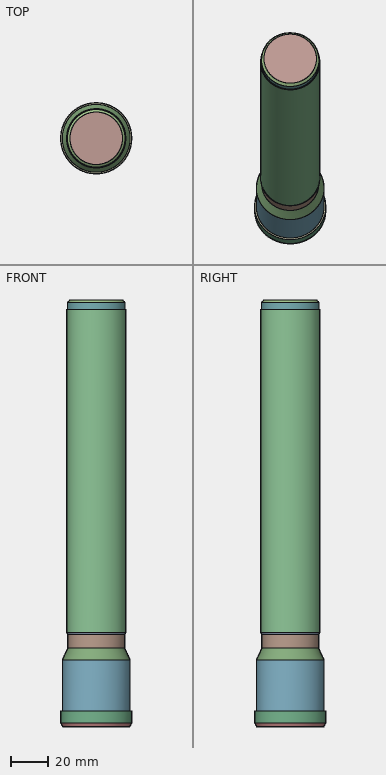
import cadquery as cq

total_height = 228.5

flange_radius = 38.2 / 2
flange_top = 8.5
flange_chamfer_height = 2.0
flange_chamfer_width = 1.1
barrel_radius = 36.3 / 2
barrel_top = 36.0
neck_radius = 30.6 / 2
neck_bottom = 42.0
neck_top = 49.4

rod_radius = 31.8 / 2
rod_bottom_chamfer_height = 1.1
rod_end_radius = 30.9 / 2
rod_end_length = 5.3
rod_top_chamfer = 1.4


def revolve_profile(points):
    """Turn a closed half profile of (radius, height) points about the Z axis."""
    return cq.Workplane("XZ").polyline(points).close().revolve(360, (0, 0, 0), (0, 1, 0))


def make_base():
    """Stepped base with a chamfered flange and a cone leading up to the neck."""
    return revolve_profile([
        (0, 0),
        (flange_radius - flange_chamfer_width, 0),
        (flange_radius, flange_chamfer_height),
        (flange_radius, flange_top),
        (barrel_radius, flange_top),
        (barrel_radius, barrel_top),
        (neck_radius, neck_bottom),
        (neck_radius, neck_top),
        (0, neck_top),
    ])


def make_rod():
    """Rod with a chamfered foot, a slightly reduced end and a chamfered top rim."""
    return revolve_profile([
        (0, neck_top),
        (neck_radius, neck_top),
        (rod_radius, neck_top + rod_bottom_chamfer_height),
        (rod_radius, total_height - rod_end_length),
        (rod_end_radius, total_height - rod_end_length),
        (rod_end_radius, total_height - rod_top_chamfer),
        (rod_end_radius - rod_top_chamfer, total_height),
        (0, total_height),
    ])


base = make_base()
rod = make_rod()

result = cq.Compound.makeCompound([base.val(), rod.val()])